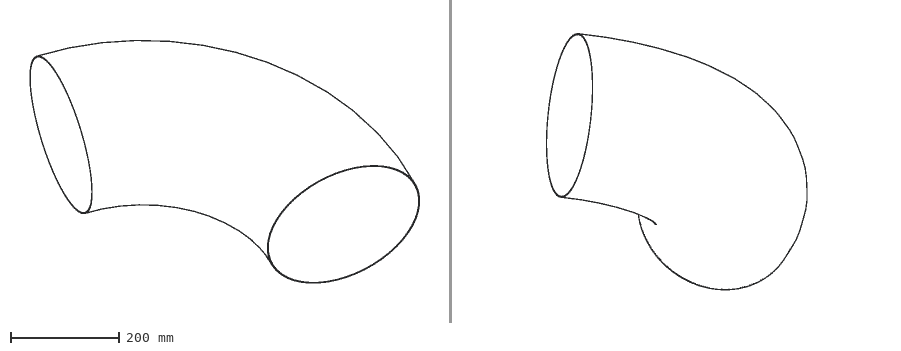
import cadquery as cq

bend_outer_radius = 552.0
pipe_diameter = 304.0
wall = 2.0
bend_angle = 90

pipe_radius = pipe_diameter / 2
bend_radius = bend_outer_radius - pipe_radius

section = (
    cq.Workplane("XZ")
    .center(-bend_radius, 0)
    .circle(pipe_radius)
    .circle(pipe_radius - wall)
)

axis_start = (bend_radius, 0)
axis_end = (bend_radius, -1)
result = section.revolve(bend_angle, axis_start, axis_end)